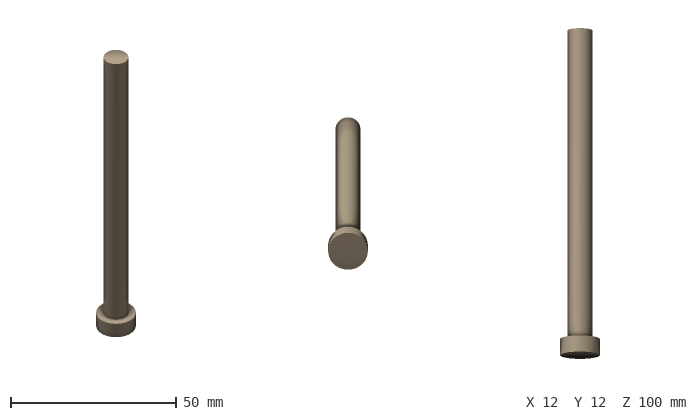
import cadquery as cq

total_length = 100.0
head_diameter = 12.0
head_height = 5.0
shank_diameter = 7.5

head = cq.Workplane("XY").circle(head_diameter / 2).extrude(head_height)
shank = cq.Workplane("XY").circle(shank_diameter / 2).extrude(total_length)

result = head.union(shank)